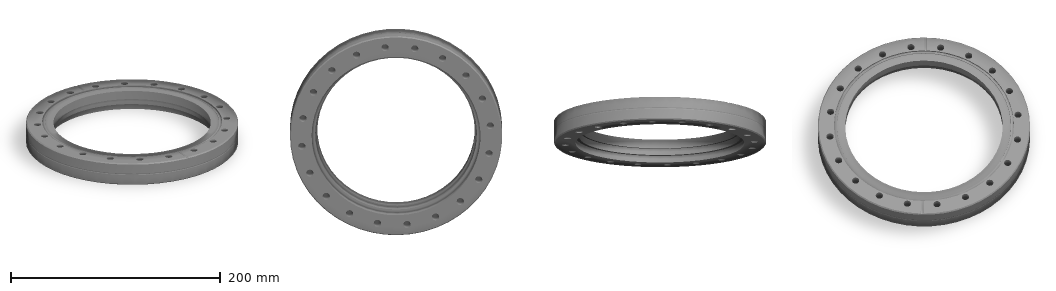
import cadquery as cq
import math

outer_radius = 101.2
height = 22.3
edge_chamfer = 1.0

rim_groove_width = 1.5
rim_groove_depth = 0.2

bolt_count = 20
bolt_circle_radius = 90.5
bolt_hole_diameter = 6.9

leak_groove_width = 2.5
leak_groove_depth = 0.6
leak_groove_angle = 180.0 / bolt_count

recess_radius = 85.8
neck_radius = 80.5
shoulder_z = 11.1

bore_radius = 75.0
socket_radius = 77.1
socket_top_z = 12.5
inner_bottom_z = 6.5
seal_face_z = 21.0
knife_tip_z = 21.7
knife_radius = 83.2
knife_base_radius = 83.0
knife_slope_angle = 20.0
knife_drop = (recess_radius - knife_radius) * math.tan(math.radians(knife_slope_angle))


def revolve_profile(points):
    """Turn a closed (radius, z) profile around the Z axis."""
    profile = cq.Workplane("XZ").polyline(points).close()
    return profile.revolve(360, (0, 0, 0), (0, 1, 0))


def make_bolt_holes():
    return (
        cq.Workplane("XY")
        .polarArray(bolt_circle_radius, 0, 360, bolt_count)
        .circle(bolt_hole_diameter / 2)
        .extrude(height)
    )


def make_leak_groove(angle):
    """Round-bottomed radial groove cutter, from the recess out past the rim."""
    cutter_radius = (leak_groove_width**2 / 4 + leak_groove_depth**2) / (2 * leak_groove_depth)
    axis_z = height - leak_groove_depth + cutter_radius
    start_radius = (neck_radius + recess_radius) / 2
    return (
        cq.Workplane("YZ", origin=(start_radius, 0, 0))
        .center(0, axis_z)
        .circle(cutter_radius)
        .extrude(outer_radius)
        .rotate((0, 0, 0), (0, 0, 1), angle)
    )


def make_outer_ring():
    """Bolted ring whose bore steps out to a shoulder that holds the inner ring."""
    middle_z = height / 2
    half_groove = rim_groove_width / 2
    ring = revolve_profile([
        (neck_radius, 0),
        (outer_radius - edge_chamfer, 0),
        (outer_radius, edge_chamfer),
        (outer_radius, middle_z - half_groove),
        (outer_radius - rim_groove_depth, middle_z),
        (outer_radius, middle_z + half_groove),
        (outer_radius, height - edge_chamfer),
        (outer_radius - edge_chamfer, height),
        (recess_radius, height),
        (recess_radius, shoulder_z),
        (neck_radius, shoulder_z),
    ])
    ring = ring.cut(make_bolt_holes())
    for half_turn in (0, 180):
        ring = ring.cut(make_leak_groove(leak_groove_angle + half_turn))
    return ring


def make_inner_ring():
    """Sealing ring with a sloped knife edge on top and a tube socket below."""
    return revolve_profile([
        (bore_radius, socket_top_z),
        (socket_radius, socket_top_z),
        (socket_radius, inner_bottom_z),
        (neck_radius, inner_bottom_z),
        (neck_radius, shoulder_z),
        (recess_radius, shoulder_z),
        (recess_radius, knife_tip_z - knife_drop),
        (knife_radius, knife_tip_z),
        (knife_base_radius, seal_face_z),
        (bore_radius, seal_face_z),
    ])


outer_ring = make_outer_ring()
inner_ring = make_inner_ring()

result = cq.Compound.makeCompound([outer_ring.val(), inner_ring.val()])